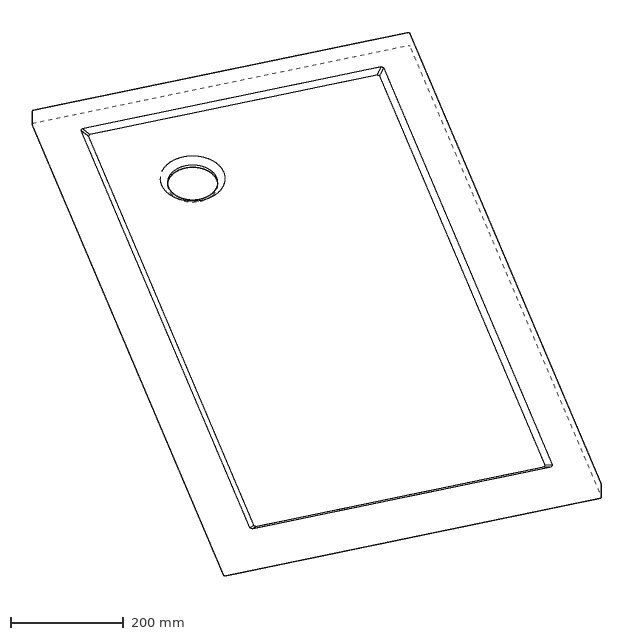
import cadquery as cq
import math

length = 1200.0
width = 700.0
height = 35.0
edge_radius = 4.0

rim_width = 70.0
rim_drop = 2.0
step_width = 11.0
step_drop = 7.0
corner_cut = 4.0

drain_x = -370.0
drain_y = -120.0
seat_radius = 58.0
hole_radius = 45.0
floor_fall = 10.0
side_fold_y = -52.0
seat_depth = 10.0

rim_inner_z = height - rim_drop
floor_edge_z = rim_inner_z - step_drop
seat_top_z = floor_edge_z - floor_fall
seat_bottom_z = seat_top_z - seat_depth


def corner_points(inset):
    """Outline of the tray moved inward, with a small cut across each corner."""
    x = length / 2 - inset
    y = width / 2 - inset
    c = corner_cut
    return [
        (x, -y + c), (x, y - c), (x - c, y), (-x + c, y),
        (-x, y - c), (-x, -y + c), (-x + c, -y), (x - c, -y),
    ]


def tray_wire(outline, z):
    points = [cq.Vector(x, y, z) for x, y in outline]
    return cq.Wire.makePolygon(points, close=True)


def floor_points(inset):
    """Floor outline with an extra point on each short side for its fold."""
    x = length / 2 - inset
    points = corner_points(inset)
    return points[:1] + [(x, side_fold_y)] + points[1:5] + [(-x, side_fold_y)] + points[5:]


def seat_angles(inset):
    """Directions on the seat circle that match the floor outline points."""
    angles = [math.atan2(y, x) for x, y in corner_points(inset)]
    return angles[:1] + [0.0] + angles[1:5] + [math.pi] + angles[5:]


def seat_wire(angles, z):
    """Seat circle split into arcs between the given directions."""

    def on_circle(angle):
        x = drain_x + seat_radius * math.cos(angle)
        y = drain_y + seat_radius * math.sin(angle)
        return cq.Vector(x, y, z)

    arcs = []
    for start, end in zip(angles, angles[1:] + angles[:1]):
        sweep = (end - start) % (2 * math.pi)
        arcs.append(cq.Edge.makeThreePointArc(
            on_circle(start), on_circle(start + sweep / 2), on_circle(start + sweep)))
    return cq.Wire.assembleEdges(arcs)


def ruled_solid(lower, upper):
    return cq.Solid.makeLoft([lower, upper], True)


block = cq.Workplane("XY").box(length, width, height, centered=(True, True, False))
block = block.edges("|Z or >Z").fillet(edge_radius)

floor_inset = rim_width + step_width
rim_outer = tray_wire(corner_points(edge_radius), height)
rim_inner = tray_wire(corner_points(rim_width), rim_inner_z)
step_foot = tray_wire(corner_points(floor_inset), floor_edge_z)
floor_outer = tray_wire(floor_points(floor_inset), floor_edge_z)
floor_inner = seat_wire(seat_angles(floor_inset), seat_top_z)

rim_cut = ruled_solid(rim_inner, rim_outer)
step_cut = ruled_solid(step_foot, rim_inner)
floor_cut = ruled_solid(floor_inner, floor_outer)

seat_cut = cq.Solid.makeCone(
    hole_radius, seat_radius, seat_depth, pnt=cq.Vector(drain_x, drain_y, seat_bottom_z))
hole_cut = cq.Solid.makeCylinder(hole_radius, height, pnt=cq.Vector(drain_x, drain_y, 0))

result = block
for cutter in (rim_cut, step_cut, floor_cut, seat_cut, hole_cut):
    result = result.cut(cq.Workplane(obj=cutter))